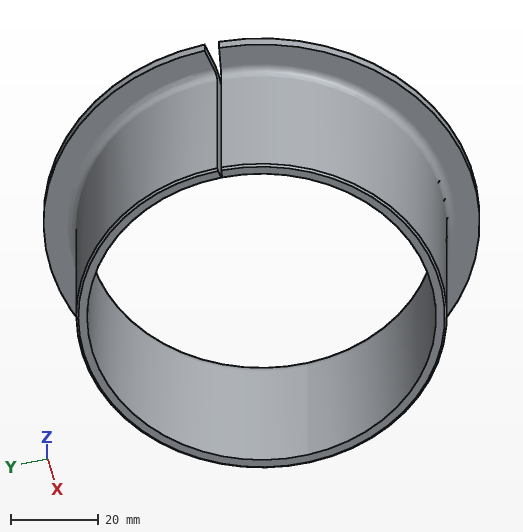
import cadquery as cq
import math

bore_radius = 40.0
wall = 2.5
flange_radius = 50.0
height = 40.0
inside_bend_radius = 2.0
chamfer = 0.5

split_angle = 2.0
gap_at_bore = 0.1
gap_at_rim = 3.4

sleeve_radius = bore_radius + wall
flange_underside = height - wall
outside_bend_radius = inside_bend_radius + wall
bend_center_radius = bore_radius + outside_bend_radius
bend_center_height = height - outside_bend_radius


def make_body():
    """Revolve the sleeve, bend and flange section around Z."""
    diagonal = math.sqrt(0.5)
    outside_mid = (
        bend_center_radius - outside_bend_radius * diagonal,
        bend_center_height + outside_bend_radius * diagonal,
    )
    inside_mid = (
        bend_center_radius - inside_bend_radius * diagonal,
        bend_center_height + inside_bend_radius * diagonal,
    )
    section = (
        cq.Workplane("XZ")
        .moveTo(bore_radius, 0)
        .lineTo(sleeve_radius - chamfer, 0)
        .lineTo(sleeve_radius, chamfer)
        .lineTo(sleeve_radius, bend_center_height)
        .threePointArc(inside_mid, (bend_center_radius, flange_underside))
        .lineTo(flange_radius, flange_underside)
        .lineTo(flange_radius, height)
        .lineTo(bend_center_radius, height)
        .threePointArc(outside_mid, (bore_radius, bend_center_height))
        .close()
    )
    return section.revolve(360, (0, 0, 0), (0, 1, 0))


def make_split_cutter():
    """Wedge with its point just inside the bore, opening outwards past the rim."""
    rim_overrun = 1.0
    widening = (gap_at_rim - gap_at_bore) / (flange_radius - bore_radius)
    point_radius = bore_radius - gap_at_bore / widening
    outer_radius = flange_radius + rim_overrun
    outer_half_gap = widening * (outer_radius - point_radius) / 2
    return (
        cq.Workplane("XY")
        .moveTo(-point_radius, 0)
        .lineTo(-outer_radius, outer_half_gap)
        .lineTo(-outer_radius, -outer_half_gap)
        .close()
        .extrude(height)
        .rotate((0, 0, 0), (0, 0, 1), split_angle)
    )


result = make_body().cut(make_split_cutter())